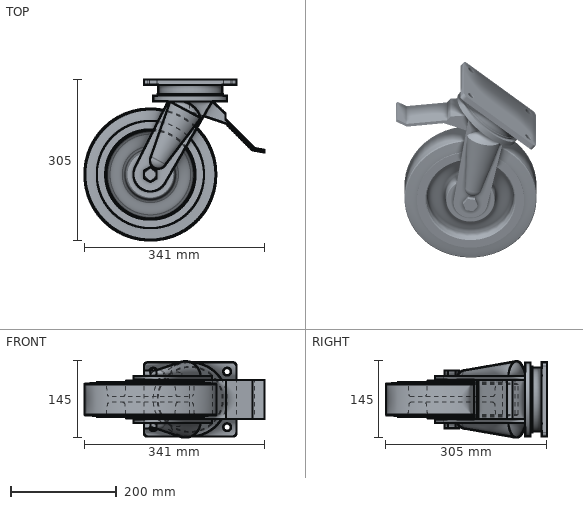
import cadquery as cq
import math


wheel_diameter = 250.0
wheel_radius = wheel_diameter / 2
tread_half_width = 30.0
tread_chamfer = 1.7
tyre_side_half_width = 31.5
rim_outer_radius = 101.5
rim_half_width = 33.0
recess_radius = 85.5
recess_edge_chamfer = 2.0
recess_floor_radius = 81.5
web_half_width = 5.0
recess_fillet = 5.0
hub_radius = 48.0
hub_top_radius = 46.0
hub_half_width = 35.8
hub_edge_fillet = 1.7
hub_base_fillet = 5.0

overall_height = 305.0
plate_top = overall_height - wheel_radius
swivel_x = 75.5
plate_length = 175.5
plate_width = 140.8
plate_thickness = 10.5
plate_corner_radius = 7.5
hole_diameter = 14.0
hole_spacing_x = 139.8
hole_spacing_z = 105.0
neck_diameter = 121.7
neck_length = 20.5
collar_diameter = 124.8
collar_length = 3.0
flange_diameter = 140.0
flange_thickness = 10.5
neck_top = plate_top - plate_thickness
flange_top = neck_top - neck_length
flange_face = flange_top - flange_thickness

fork_gap = 74.3
arm_thickness = 7.5
arm_end_radius = 32.0
arm_back_angle = 63.4
arm_front_angle = 60.0
arm_inner_z = fork_gap / 2
arm_outer_z = arm_inner_z + arm_thickness

bulge_start = (15.0, 26.5)
bulge_angle = 61.8
bulge_length = 108.7
bulge_small_radius = 16.7
bulge_large_radius = 33.5
bulge_dome_height = 14.0
overall_width = 145.0
bulge_top_z = overall_width / 2
bulge_axis_z = bulge_top_z - bulge_large_radius

axle_diameter = 20.0
hex_across_flats = 24.2
hex_height = 10.2

overall_length = 341.0
pedal_tip_x = overall_length - wheel_radius
bridge_back_x = 74.3
bridge_outline = [
    (bridge_back_x, flange_face),
    (bridge_back_x, 119.5),
    (143.0, 96.0),
    (193.0, 46.0),
    (pedal_tip_x, 41.5),
    (pedal_tip_x, 46.7),
    (197.0, 50.0),
    (142.5, 104.5),
    (142.5, 115.0),
    (117.5, flange_face),
]


def mirrored(solid):
    """Return the solid joined with its reflection in the XY plane."""
    return solid.union(solid.mirror("XY"))


def make_tyre():
    section = cq.Workplane("XZ").polyline(
        [
            (rim_outer_radius, -tyre_side_half_width),
            (wheel_radius - tread_chamfer, -tread_half_width),
            (wheel_radius, tread_chamfer - tread_half_width),
            (wheel_radius, tread_half_width - tread_chamfer),
            (wheel_radius - tread_chamfer, tread_half_width),
            (rim_outer_radius, tyre_side_half_width),
        ]
    ).close()
    return section.revolve(360, (0, 0, 0), (0, 1, 0))


def make_wheel_core():
    section = (
        cq.Workplane("XZ")
        .lineTo(rim_outer_radius, 0)
        .lineTo(rim_outer_radius, rim_half_width)
        .lineTo(recess_radius, rim_half_width)
        .lineTo(recess_radius - recess_edge_chamfer, rim_half_width - recess_edge_chamfer)
        .lineTo(recess_floor_radius, web_half_width + recess_fillet)
        .radiusArc((recess_floor_radius - recess_fillet, web_half_width), recess_fillet)
        .lineTo(hub_radius + hub_base_fillet, web_half_width)
        .radiusArc((hub_radius, web_half_width + hub_base_fillet), hub_base_fillet)
        .lineTo(hub_top_radius, hub_half_width - hub_edge_fillet)
        .radiusArc((hub_top_radius - hub_edge_fillet, hub_half_width), -hub_edge_fillet)
        .lineTo(0, hub_half_width)
        .close()
    )
    return mirrored(section.revolve(360, (0, 0, 0), (0, 1, 0)))


def disc(diameter, top, length):
    """Disc on the swivel axis, reaching down from the given Y level."""
    plane = cq.Plane(origin=(swivel_x, top, 0), xDir=(1, 0, 0), normal=(0, -1, 0))
    return cq.Workplane(plane).circle(diameter / 2).extrude(length)


def make_swivel_head():
    plane = cq.Plane(origin=(swivel_x, plate_top, 0), xDir=(1, 0, 0), normal=(0, -1, 0))
    plate = (
        cq.Workplane(plane)
        .rect(plate_length, plate_width)
        .extrude(plate_thickness)
        .edges("|Y")
        .fillet(plate_corner_radius)
    )
    holes = (
        cq.Workplane(plane)
        .rect(hole_spacing_x, hole_spacing_z, forConstruction=True)
        .vertices()
        .circle(hole_diameter / 2)
        .extrude(plate_thickness)
    )
    neck = disc(neck_diameter, neck_top, neck_length)
    collar = disc(collar_diameter, flange_top + collar_length, collar_length)
    flange = disc(flange_diameter, flange_top, flange_thickness)
    return plate.cut(holes).union(neck).union(collar).union(flange)


def make_arm():
    back = math.radians(arm_back_angle)
    front = math.radians(arm_front_angle)
    back_tangent = (-arm_end_radius * math.sin(back), arm_end_radius * math.cos(back))
    front_tangent = (arm_end_radius * math.sin(front), -arm_end_radius * math.cos(front))
    back_top_x = back_tangent[0] + (flange_face - back_tangent[1]) / math.tan(back)
    front_top_x = front_tangent[0] + (flange_face - front_tangent[1]) / math.tan(front)
    return (
        cq.Workplane("XY", origin=(0, 0, arm_inner_z))
        .moveTo(back_top_x, flange_face)
        .lineTo(*back_tangent)
        .threePointArc((0, -arm_end_radius), front_tangent)
        .lineTo(front_top_x, flange_face)
        .close()
        .extrude(arm_thickness)
    )


def make_bulge():
    angle = math.radians(bulge_angle)
    plane = cq.Plane(
        origin=(*bulge_start, bulge_axis_z),
        xDir=(math.cos(angle), math.sin(angle), 0),
        normal=(math.sin(angle), -math.cos(angle), 0),
    )
    dome_radius = (bulge_large_radius**2 + bulge_dome_height**2) / (2 * bulge_dome_height)
    turned = (
        cq.Workplane(plane)
        .moveTo(-bulge_small_radius, 0)
        .radiusArc((0, bulge_small_radius), bulge_small_radius)
        .lineTo(bulge_length, bulge_large_radius)
        .radiusArc((bulge_length + bulge_dome_height, 0), dome_radius)
        .close()
        .revolve(360, (0, 0, 0), (1, 0, 0))
    )
    block_size = 2 * (bulge_length + bulge_large_radius)
    outside = (
        cq.Workplane("XY")
        .box(block_size, block_size, block_size, centered=(True, True, False))
        .translate((0, flange_face - block_size / 2, arm_inner_z + arm_thickness / 2))
    )
    return turned.intersect(outside)


def make_axle():
    shaft = cq.Workplane("XY").circle(axle_diameter / 2).extrude(arm_outer_z)
    head = (
        cq.Workplane("XY", origin=(0, 0, arm_outer_z))
        .polygon(6, hex_across_flats / math.cos(math.pi / 6))
        .extrude(hex_height)
        .rotate((0, 0, 0), (0, 0, 1), 30)
    )
    return mirrored(shaft.union(head))


def make_pedal():
    return cq.Workplane("XY").polyline(bridge_outline).close().extrude(arm_inner_z, both=True)


fork = mirrored(make_arm().union(make_bulge()))
wheel = make_wheel_core().union(make_tyre())
result = make_swivel_head().union(fork).union(make_pedal()).union(wheel).union(make_axle())